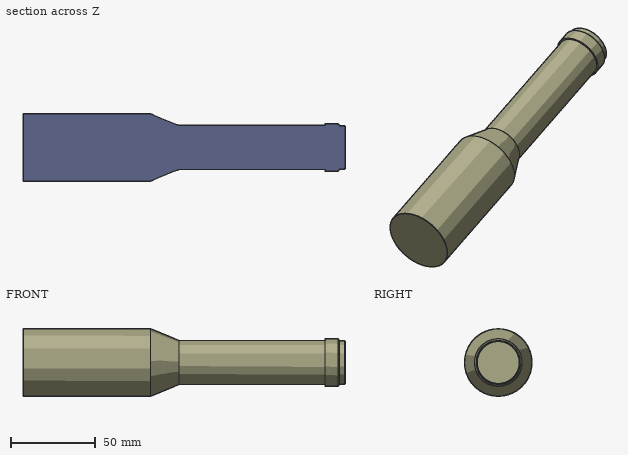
import cadquery as cq

total_length = 190.7
body_length = 75.5
cone_length = 16.5
collar_start = 178.7
collar_length = 7.6
collar_bevel_length = 0.5
collar_foot_length = 0.4

body_radius = 20.0
shank_radius = 13.2
collar_radius = 14.1
collar_bevel_radius = 13.5
tip_radius = 13.0

body_chamfer = 0.2
tip_chamfer = 0.5

cone_end = body_length + cone_length
bevel_start = collar_start + collar_length
bevel_end = bevel_start + collar_bevel_length
tip_start = bevel_end + collar_foot_length

half_section = [
    (0, 0),
    (0, body_radius - body_chamfer),
    (body_chamfer, body_radius),
    (body_length, body_radius),
    (cone_end, shank_radius),
    (collar_start, shank_radius),
    (collar_start, collar_radius),
    (bevel_start, collar_radius),
    (bevel_end, collar_bevel_radius),
    (tip_start, tip_radius),
    (total_length - tip_chamfer, tip_radius),
    (total_length, tip_radius - tip_chamfer),
    (total_length, 0),
]

result = cq.Workplane("XZ").polyline(half_section).close().revolve(360, (0, 0, 0), (1, 0, 0))